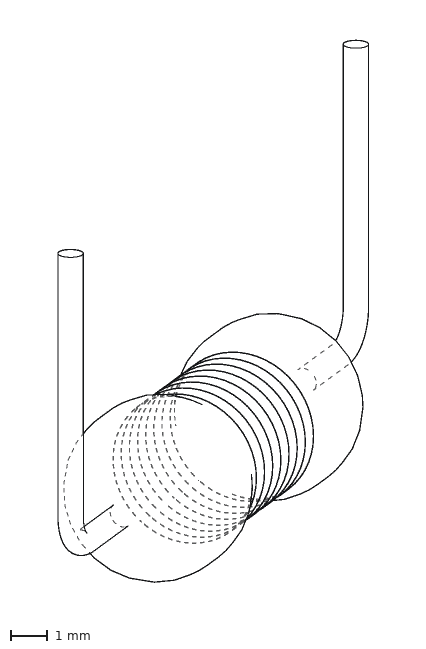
import cadquery as cq
import math

wire_radius = 0.7 / 2
lead_pitch = 20.0
lead_top = 8.6
bend_radius = 3 * wire_radius

cap_radius = 5.0 / 2
waist_radius = 4.25 / 2
waist_length = 4.0
body_length = 12.0
outer_round_radius = 1.75
inner_round_radius = 1.6
cap_flat_length = 0.78

collar_radius = 0.5

band_radius = 4.27 / 2
band_count = 4
band_width = waist_length / (2 * band_count - 1)
band_pitch = 2 * band_width

outer_round_x = cap_radius - outer_round_radius
outer_round_y = body_length / 2 - outer_round_radius
inner_round_x = cap_radius - inner_round_radius
inner_round_y = outer_round_y - cap_flat_length
outer_round_center = (outer_round_x, outer_round_y)
inner_round_center = (inner_round_x, inner_round_y)

waist_end_y = waist_length / 2
shoulder_run = inner_round_y - waist_end_y
waist_offset = waist_radius - inner_round_x
shoulder_radius = (waist_offset**2 + shoulder_run**2 - inner_round_radius**2) / (
    2 * (inner_round_radius - waist_offset)
)
shoulder_center = (waist_radius + shoulder_radius, waist_end_y)
shoulder_angle = math.asin(shoulder_run / (shoulder_radius + inner_round_radius))

collar_center_x = wire_radius + collar_radius
collar_angle = math.acos((collar_center_x - outer_round_x) / (outer_round_radius + collar_radius))
collar_end_y = outer_round_y + (outer_round_radius + collar_radius) * math.sin(collar_angle)
collar_center = (collar_center_x, collar_end_y)


def point_on_arc(center, radius, angle):
    """Point of an arc in the profile plane, at an angle from the +X direction."""
    return (center[0] + radius * math.cos(angle), center[1] + radius * math.sin(angle))


def body_end():
    """The +Y shoulder, cap and collar, revolved about the Y axis."""
    shoulder_middle = point_on_arc(shoulder_center, shoulder_radius, math.pi - shoulder_angle / 2)
    inner_round_start = point_on_arc(inner_round_center, inner_round_radius, -shoulder_angle)
    inner_round_middle = point_on_arc(inner_round_center, inner_round_radius, -shoulder_angle / 2)
    outer_round_middle = point_on_arc(outer_round_center, outer_round_radius, collar_angle / 2)
    outer_round_end = point_on_arc(outer_round_center, outer_round_radius, collar_angle)
    collar_middle = point_on_arc(collar_center, collar_radius, math.pi + collar_angle / 2)
    outline = (
        cq.Workplane("XY")
        .moveTo(0, waist_end_y)
        .lineTo(waist_radius, waist_end_y)
        .threePointArc(shoulder_middle, inner_round_start)
        .threePointArc(inner_round_middle, (cap_radius, inner_round_y))
        .lineTo(cap_radius, outer_round_y)
        .threePointArc(outer_round_middle, outer_round_end)
        .threePointArc(collar_middle, (wire_radius, collar_end_y))
        .lineTo(0, collar_end_y)
        .close()
    )
    return outline.revolve(360, (0, 0, 0), (0, 1, 0))


def lead():
    """The +Y lead: straight out of the collar, then bent up to the lead top."""
    lead_y = lead_pitch / 2
    bend_start_y = lead_y - bend_radius
    path = (
        cq.Workplane("YZ")
        .moveTo(collar_end_y, 0)
        .lineTo(bend_start_y, 0)
        .tangentArcPoint((lead_y, bend_radius), relative=False)
        .lineTo(lead_y, lead_top)
    )
    section = cq.Workplane("XZ", origin=(0, collar_end_y, 0)).circle(wire_radius)
    return section.sweep(path)


def axial_cylinder(center_y, radius, length):
    """A cylinder around the Y axis, centred at center_y."""
    end_plane = cq.Workplane("XZ", origin=(0, center_y + length / 2, 0))
    return end_plane.circle(radius).extrude(length)


right_side = body_end().union(lead())
left_side = right_side.mirror("XZ")
waist = axial_cylinder(0, waist_radius, waist_length)
result = waist.union(right_side).union(left_side)

for index in range(band_count):
    band_y = (index - (band_count - 1) / 2) * band_pitch
    result = result.union(axial_cylinder(band_y, band_radius, band_width))